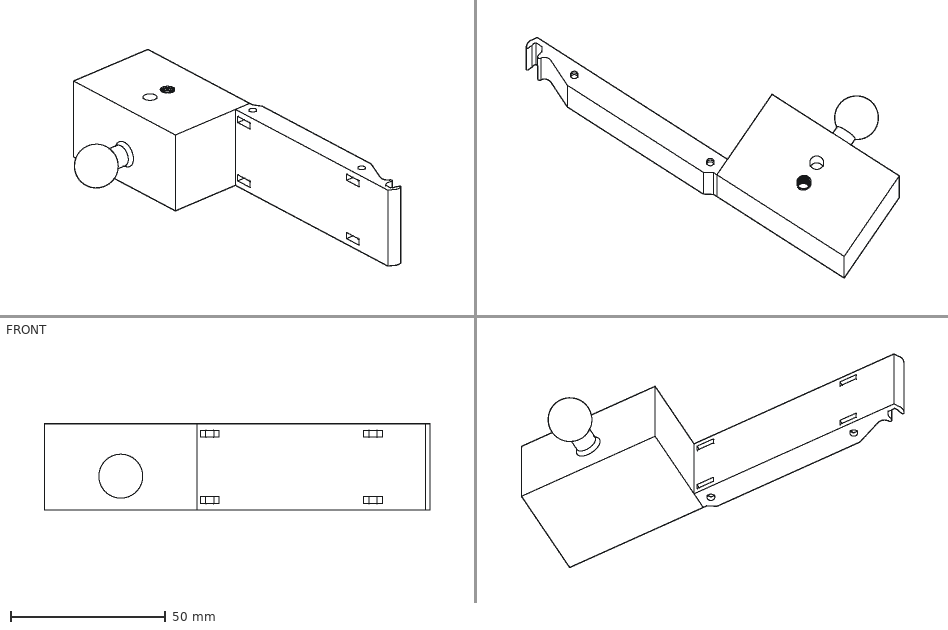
import cadquery as cq
import math

height = 28.0

block_length = 49.5
block_depth = 32.3
hole_x = block_length / 2
plain_hole_diameter = 4.5
plain_hole_y = 11.1
plain_hole_depth = 8.7
threaded_hole_y = 19.0
thread_minor_diameter = 4.2
thread_major_diameter = 5.1
thread_pitch = 0.8
thread_turns = 11
thread_groove_width = 0.7
thread_cutter_overlap = 0.2
thread_start_angle = 240
threaded_hole_depth = (thread_turns + 1) * thread_pitch

stud_z = 11.0
ball_diameter = 14.2
ball_center_y = -12.2
neck_diameter = 7.1
collar_diameter = 8.7
collar_length = 1.5

plate_front_y = 26.1
plate_front_end_x = 123.4
plate_back_y = 34.1
ramp_start_x = 50.7
pin_hole_diameter = 2.5
pin_hole_y = 30.0
pin_hole_xs = (53.6, 106.4)

pocket_width = 6.0
pocket_back_width = 2.7
pocket_height = 2.2
pocket_straight_depth = 2.9
pocket_depth = 5.1
pocket_margin = 2.1

hook_heel = (124.2, 27.5)
hook_outer_bulge = (124.9, 29.4)
hook_tip_outer = (124.7, 30.5)
hook_tip = (124.3, 31.0)
hook_tip_inner = (123.8, 30.6)
socket_floor_y = 27.9
socket_right_wall = (123.3, 29.2)
socket_right_bend = (123.2, 28.5)
socket_floor_right_x = 122.7
socket_floor_left_x = 120.4
socket_left_bend = (119.8, 28.7)
socket_left_wall = (119.5, 29.7)
nub_right = (119.8, 31.1)
nub_top = (119.2, 31.7)
nub_left = (118.5, 31.2)
valley_bottom = (117.2, 30.1)
valley_end = (115.2, 30.2)


def make_thread_cutter():
    """Triangular coil around the Z axis that starts inside the bore and reaches the major diameter."""
    root_radius = thread_minor_diameter / 2 - thread_cutter_overlap
    corners = (
        (root_radius, -thread_groove_width / 2),
        (thread_major_diameter / 2, 0),
        (root_radius, thread_groove_width / 2),
    )
    coil_height = (thread_turns + 1) * thread_pitch
    edges = []
    for radius, z in corners:
        helix = cq.Wire.makeHelix(thread_pitch, coil_height, radius)
        edges.append(helix.translate(cq.Vector(0, 0, z)))

    flanks = [cq.Face.makeRuledSurface(edges[i - 1], edges[i]) for i in range(len(edges))]
    caps = []
    for ends in ([edge.startPoint() for edge in edges], [edge.endPoint() for edge in edges]):
        caps.append(cq.Face.makeFromWires(cq.Wire.makePolygon(ends, close=True)))
    coil = cq.Solid.makeSolid(cq.Shell.makeShell(flanks + caps))
    return cq.Workplane(obj=coil).rotate((0, 0, 0), (0, 0, 1), thread_start_angle)


def make_bore(diameter, y, depth):
    return cq.Workplane("XY", origin=(hole_x, y, height)).circle(diameter / 2).extrude(-depth)


def make_block():
    block = cq.Workplane("XY").box(block_length, block_depth, height, centered=False)
    block = block.cut(make_bore(plain_hole_diameter, plain_hole_y, plain_hole_depth))
    block = block.cut(make_bore(thread_minor_diameter, threaded_hole_y, threaded_hole_depth))
    thread_start_z = height - thread_turns * thread_pitch
    return block.cut(make_thread_cutter().translate((hole_x, threaded_hole_y, thread_start_z)))


def make_ball_stud():
    neck_radius = neck_diameter / 2
    ball_radius = ball_diameter / 2
    ball_joint_y = ball_center_y + math.sqrt(ball_radius**2 - neck_radius**2)
    profile = (
        cq.Workplane("XY")
        .lineTo(collar_diameter / 2, 0)
        .lineTo(neck_radius, -collar_length)
        .lineTo(neck_radius, ball_joint_y)
        .threePointArc((ball_radius, ball_center_y), (0, ball_center_y - ball_radius))
        .close()
    )
    stud = profile.revolve(360, (0, 0, 0), (0, 1, 0))
    return stud.translate((hole_x, 0, stud_z))


def make_pocket():
    half_width = pocket_width / 2
    half_back = pocket_back_width / 2
    return (
        cq.Workplane("XY")
        .moveTo(-half_width, 0)
        .lineTo(half_width, 0)
        .lineTo(half_width, pocket_straight_depth)
        .lineTo(half_back, pocket_depth)
        .lineTo(-half_back, pocket_depth)
        .lineTo(-half_width, pocket_straight_depth)
        .close()
        .extrude(pocket_height)
    )


def make_plate_blank():
    return (
        cq.Workplane("XY")
        .moveTo(block_length, plate_front_y)
        .lineTo(plate_front_end_x, plate_front_y)
        .lineTo(*hook_heel)
        .threePointArc(hook_outer_bulge, hook_tip_outer)
        .threePointArc(hook_tip, hook_tip_inner)
        .lineTo(*socket_right_wall)
        .threePointArc(socket_right_bend, (socket_floor_right_x, socket_floor_y))
        .lineTo(socket_floor_left_x, socket_floor_y)
        .threePointArc(socket_left_bend, socket_left_wall)
        .lineTo(*nub_right)
        .threePointArc(nub_top, nub_left)
        .threePointArc(valley_bottom, valley_end)
        .lineTo(pin_hole_xs[1], plate_back_y)
        .lineTo(pin_hole_xs[0], plate_back_y)
        .lineTo(ramp_start_x, block_depth)
        .lineTo(block_length, block_depth)
        .close()
        .extrude(height)
    )


def make_plate():
    plate = make_plate_blank()
    for x in pin_hole_xs:
        pin_hole = cq.Workplane("XY").center(x, pin_hole_y).circle(pin_hole_diameter / 2).extrude(height)
        plate = plate.cut(pin_hole)
        for z in (pocket_margin, height - pocket_margin - pocket_height):
            plate = plate.cut(make_pocket().translate((x, plate_front_y, z)))
    return plate


block = make_block()
ball_stud = make_ball_stud()
plate = make_plate()

result = cq.Compound.makeCompound([block.val(), ball_stud.val(), plate.val()])